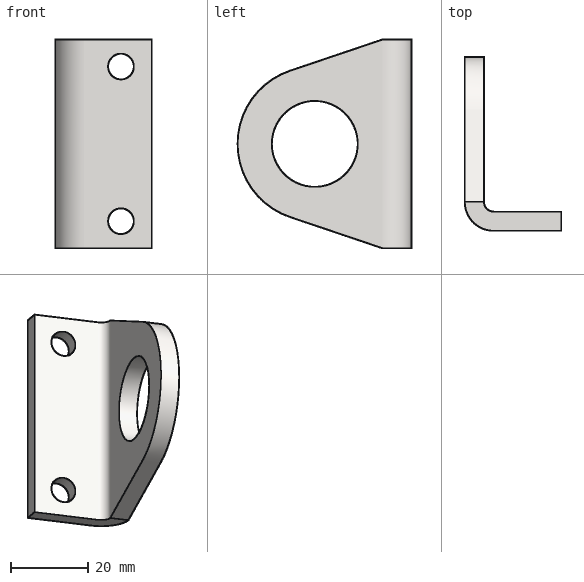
import cadquery as cq
import math

height = 54.0
flange_width = 25.0
thickness = 5.0
inner_bend_radius = 2.5
outer_bend_radius = inner_bend_radius + thickness

lug_radius = 20.0
lug_center_y = 25.0
lug_hole_diameter = 22.15
depth = lug_center_y + lug_radius
mid_z = height / 2

screw_hole_diameter = 6.6
screw_hole_x = 17.0
screw_hole_edge_distance = 7.0


def bent_plate():
    """Full-height L section with concentric bend radii."""
    section = (
        cq.Workplane("XY")
        .moveTo(flange_width, 0)
        .lineTo(outer_bend_radius, 0)
        .radiusArc((0, outer_bend_radius), outer_bend_radius)
        .lineTo(0, depth)
        .lineTo(thickness, depth)
        .lineTo(thickness, outer_bend_radius)
        .radiusArc((outer_bend_radius, thickness), -inner_bend_radius)
        .lineTo(flange_width, thickness)
        .close()
    )
    return section.extrude(height)


def lug_envelope():
    """Side outline: straight edges from the bend run tangent into the round end."""
    run_y = lug_center_y - outer_bend_radius
    corner_distance = math.hypot(run_y, mid_z)
    corner_angle = math.atan2(mid_z, -run_y)
    tangent_angle = corner_angle - math.acos(lug_radius / corner_distance)
    tangent_y = lug_center_y + lug_radius * math.cos(tangent_angle)
    tangent_rise = lug_radius * math.sin(tangent_angle)
    outline = (
        cq.Workplane("YZ")
        .moveTo(0, 0)
        .lineTo(outer_bend_radius, 0)
        .lineTo(tangent_y, mid_z - tangent_rise)
        .threePointArc((depth, mid_z), (tangent_y, mid_z + tangent_rise))
        .lineTo(outer_bend_radius, height)
        .lineTo(0, height)
        .close()
    )
    return outline.extrude(flange_width)


def lug_hole():
    """Large hole through the lug, concentric with its round end."""
    return (
        cq.Workplane("YZ")
        .center(lug_center_y, mid_z)
        .circle(lug_hole_diameter / 2)
        .extrude(thickness)
    )


def screw_holes():
    """Two holes through the mounting flange, one near each end."""
    hole_heights = (screw_hole_edge_distance, height - screw_hole_edge_distance)
    return (
        cq.Workplane("XZ")
        .pushPoints([(screw_hole_x, z) for z in hole_heights])
        .circle(screw_hole_diameter / 2)
        .extrude(-thickness)
    )


result = bent_plate().intersect(lug_envelope()).cut(lug_hole()).cut(screw_holes())